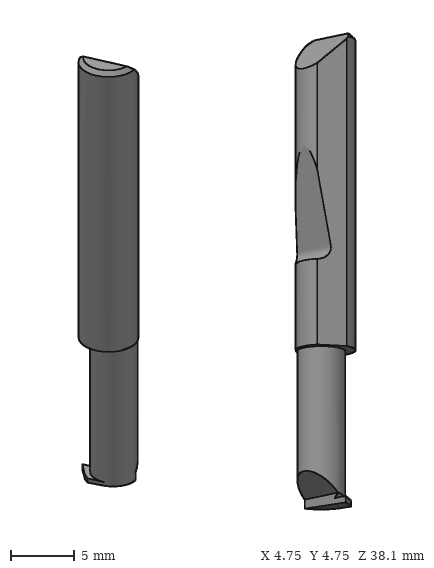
import cadquery as cq
import math

LENGTH = 38.1
SHANK_RADIUS = 4.75 / 2
SHANK_BOTTOM = 12.65
TOP_CHAMFER = 0.4
MARGIN = 1.9

BEVEL_START_Y = -0.6

FLAT_DISTANCE = 2.05
FLAT_ANGLE = 150.0

NOTCH_BOTTOM = 19.6
NOTCH_RADIUS = 1.0
NOTCH_DEPTH = 1.3
NOTCH_SLOPE = math.radians(9)

NECK_RADIUS = 1.9
NECK_X = SHANK_RADIUS - NECK_RADIUS
NECK_LEFT = NECK_X - NECK_RADIUS
NECK_SLOPE_TOP = 2.65
RAKE_FACE_TOP = 0.9

TIP_X = -2.3
TOOTH_TOP = 0.55
FLANK_CORNER = (-1.4, -1.4)
FRONT_CORNER_X = -0.95
RELIEF_SLOPE = 0.04


def make_shank():
    shank = (
        cq.Workplane("XY")
        .workplane(offset=SHANK_BOTTOM)
        .circle(SHANK_RADIUS)
        .extrude(LENGTH - SHANK_BOTTOM)
        .faces(">Z")
        .chamfer(TOP_CHAMFER)
    )
    return shank.cut(make_end_bevel()).cut(make_flat()).cut(make_notch())


def extrude_along_x(profile):
    """Turn a closed YZ profile into a cutter spanning the whole width."""
    return profile.extrude(SHANK_RADIUS + MARGIN, both=True)


def make_end_bevel():
    outer_y = SHANK_RADIUS + MARGIN
    drop = outer_y - BEVEL_START_Y
    return extrude_along_x(
        cq.Workplane("YZ")
        .moveTo(BEVEL_START_Y, LENGTH)
        .lineTo(outer_y, LENGTH - drop)
        .lineTo(outer_y, LENGTH)
        .close()
    )


def make_flat():
    return (
        cq.Workplane("XY")
        .box(MARGIN, 4 * SHANK_RADIUS, LENGTH, centered=(False, True, False))
        .translate((FLAT_DISTANCE, 0, SHANK_BOTTOM))
        .rotate((0, 0, 0), (0, 0, 1), FLAT_ANGLE)
    )


def make_notch():
    """Quarter-round floor running tangentially into a shallow ramp."""
    center_y = SHANK_RADIUS - NOTCH_DEPTH + NOTCH_RADIUS
    center_z = NOTCH_BOTTOM + NOTCH_RADIUS
    ramp_y = center_y - NOTCH_RADIUS * math.cos(NOTCH_SLOPE)
    ramp_z = center_z + NOTCH_RADIUS * math.sin(NOTCH_SLOPE)
    middle = math.radians(45)
    outer_y = SHANK_RADIUS + MARGIN
    ramp_end_z = ramp_z + (outer_y - ramp_y) / math.tan(NOTCH_SLOPE)
    return extrude_along_x(
        cq.Workplane("YZ")
        .moveTo(outer_y, NOTCH_BOTTOM)
        .lineTo(center_y, NOTCH_BOTTOM)
        .threePointArc(
            (
                center_y - NOTCH_RADIUS * math.sin(middle),
                center_z - NOTCH_RADIUS * math.cos(middle),
            ),
            (ramp_y, ramp_z),
        )
        .lineTo(outer_y, ramp_end_z)
        .close()
    )


def make_neck():
    neck = cq.Workplane("XY").center(NECK_X, 0).circle(NECK_RADIUS).extrude(SHANK_BOTTOM)
    clearance = extrude_along_x(
        cq.Workplane("YZ").polyline(
            [
                (0, -MARGIN),
                (0, RAKE_FACE_TOP),
                (NECK_RADIUS, NECK_SLOPE_TOP),
                (NECK_RADIUS + MARGIN, NECK_SLOPE_TOP),
                (NECK_RADIUS + MARGIN, -MARGIN),
            ]
        ).close()
    )
    relief = (
        cq.Workplane("XZ")
        .moveTo(NECK_LEFT, 0)
        .lineTo(NECK_LEFT, RAKE_FACE_TOP)
        .lineTo(NECK_LEFT + RAKE_FACE_TOP - TOOTH_TOP, TOOTH_TOP)
        .lineTo(NECK_LEFT + RAKE_FACE_TOP - TOOTH_TOP, 0)
        .close()
        .extrude(NECK_RADIUS, both=True)
    )
    return neck.cut(clearance).cut(relief)


def make_tooth():
    return (
        cq.Workplane("XY")
        .moveTo(TIP_X, 0)
        .lineTo(*FLANK_CORNER)
        .lineTo(FRONT_CORNER_X, -NECK_RADIUS)
        .lineTo(NECK_X, -NECK_RADIUS)
        .lineTo(NECK_X, 0)
        .close()
        .extrude(TOOTH_TOP)
    )


def make_underside_relief():
    """Half space below a plane through the tip, rising towards +X and -Y."""
    normal = (-RELIEF_SLOPE, RELIEF_SLOPE, 1)
    plane = cq.Plane(origin=(TIP_X, 0, 0), xDir=(1, 0, RELIEF_SLOPE), normal=normal)
    size = 8 * SHANK_RADIUS
    return cq.Workplane(plane).rect(size, size).extrude(-MARGIN)


cutting_end = make_neck().union(make_tooth()).cut(make_underside_relief())
result = make_shank().union(cutting_end)